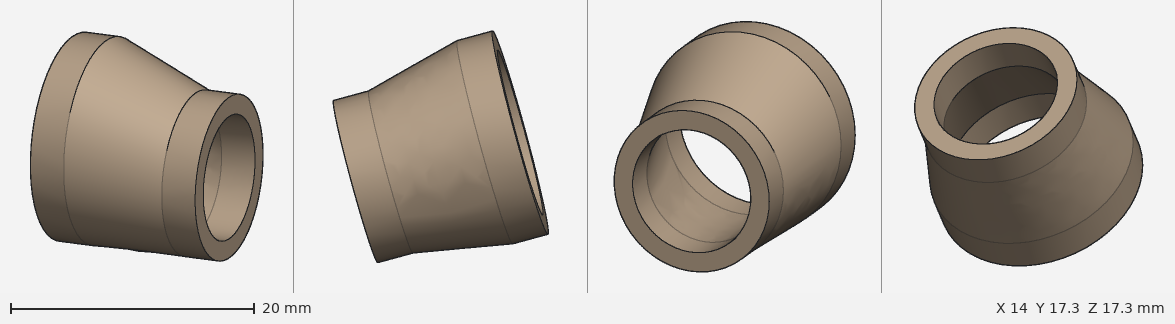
import cadquery as cq

large_outer_diameter = 17.3
large_bore_diameter = 14.0
small_outer_diameter = 13.8
small_bore_diameter = 10.5
overall_length = 14.0
collar_length = 3.0

taper_end = overall_length - collar_length
small_end_z = (small_outer_diameter - large_outer_diameter) / 2


def circle_at(x, z, diameter):
    """Circle facing +X, centred at the given x and z."""
    return cq.Workplane("YZ", origin=(x, 0, z)).circle(diameter / 2)


def reducer_body(large_diameter, small_diameter):
    """Solid made of a large collar, an offset taper and a small collar."""
    large_collar = circle_at(0, 0, large_diameter).extrude(collar_length)
    small_collar = circle_at(taper_end, small_end_z, small_diameter).extrude(collar_length)
    taper = (
        circle_at(collar_length, 0, large_diameter)
        .workplane(offset=taper_end - collar_length)
        .center(0, small_end_z)
        .circle(small_diameter / 2)
        .loft(ruled=True)
    )
    return large_collar.union(taper).union(small_collar)


outer_body = reducer_body(large_outer_diameter, small_outer_diameter)
bore = reducer_body(large_bore_diameter, small_bore_diameter)
result = outer_body.cut(bore)